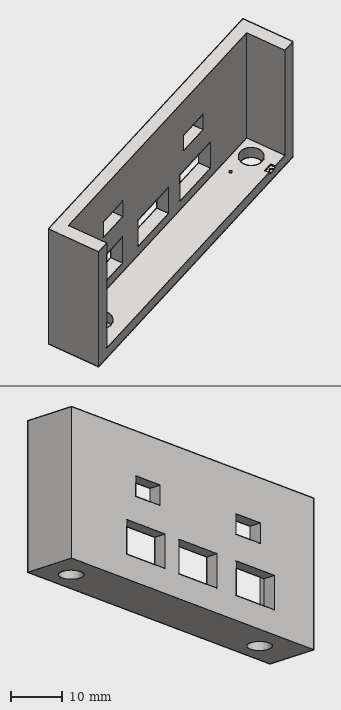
import cadquery as cq

length = 69.9
depth = 11.75
height = 31.7

front_wall = 2.8
end_wall = 2.95
floor_thickness = 2.8

window_width = 11.0
window_height = 7.2
window_bottom = 5.25
window_centers = (-18.0, -1.55, 13.5)
small_window_width = 7.0
small_window_height = 4.25
small_window_bottom = 18.0
small_window_centers = (-16.0, 12.85)

mount_diameter = 5.0
mount_x = 6.35
mount_centers = ((mount_x, -26.15), (mount_x, 28.2))
pin_hole_diameter = 0.66
pin_hole_center = (5.25, 22.45)
pin_hole_depth = 0.7

notch_depth = 0.35
notch_inset = 1.05
notch_width = 2.2
notch_y = 27.4
recess_diameter = 1.25
recess_depth = 0.35


def corner_box(size_x, size_y, size_z, x, y, z):
    """Box starting at x and z, centered on y."""
    box = cq.Workplane("XY").box(size_x, size_y, size_z, centered=(False, True, False))
    return box.translate((x, y, z))


def drill(x, y, diameter, top, hole_depth):
    """Vertical cylinder reaching down from the given top."""
    return cq.Workplane("XY", origin=(x, y, top)).circle(diameter / 2).extrude(-hole_depth)


tray = corner_box(depth, length, height, 0, 0, 0)
tray = tray.cut(
    corner_box(depth - front_wall, length - 2 * end_wall, height - floor_thickness,
               front_wall, 0, floor_thickness)
)

for y in window_centers:
    tray = tray.cut(corner_box(front_wall, window_width, window_height, 0, y, window_bottom))
for y in small_window_centers:
    tray = tray.cut(
        corner_box(front_wall, small_window_width, small_window_height, 0, y, small_window_bottom)
    )

for x, y in mount_centers:
    tray = tray.cut(drill(x, y, mount_diameter, floor_thickness, floor_thickness))
tray = tray.cut(drill(*pin_hole_center, pin_hole_diameter, floor_thickness, pin_hole_depth))

notch_bottom = floor_thickness - notch_depth
tray = tray.cut(
    corner_box(notch_inset, notch_width, notch_depth, depth - notch_inset, notch_y, notch_bottom)
)
tray = tray.cut(drill(depth, notch_y, recess_diameter, notch_bottom, recess_depth))

result = tray